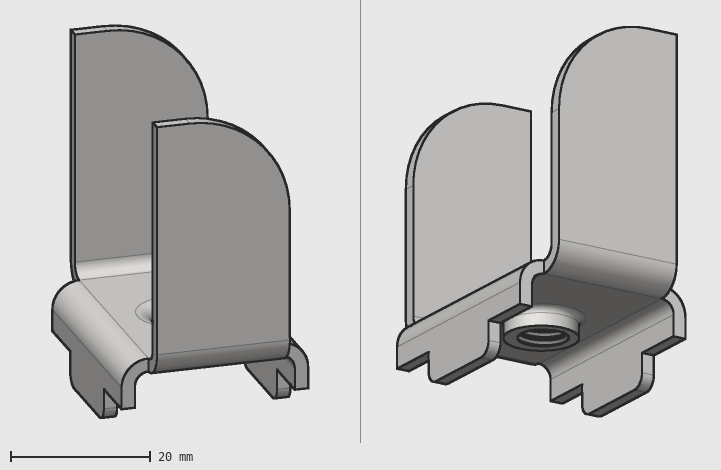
import cadquery as cq
import math

WIDTH = 41.0
DEPTH = 28.0
HEIGHT = 49.2

SHEET = 2.0
BEND_INNER = 2.0
BEND_OUTER = BEND_INNER + SHEET

BASE_X = WIDTH - 2 * BEND_OUTER
BASE_Y = DEPTH - 2 * BEND_OUTER
BASE_TOP = 12.35
BASE_BOTTOM = BASE_TOP - SHEET

ARM_CORNER = 15.0
FLANGE_BOTTOM = 5.0
TAB_WIDTH = 16.05
TAB_CORNER = 2.0

BORE_RADIUS = 3.4
THROAT_RADIUS = 3.0
COLLAR_BLEND = THROAT_RADIUS - SHEET
COLLAR_RADIUS = BORE_RADIUS + SHEET
COLLAR_BOTTOM = BASE_BOTTOM - 2.95
THREAD_PITCH = 1.25
THREAD_ROOT_RADIUS = 4.0
THREAD_HALF_WIDTH = 0.6
THREAD_TOP = BASE_TOP - 1.0
THREAD_START_ANGLE = 37
CUT_OVERLAP = 0.15


def bent_leg(bend_line, bend_z, leg_end, direction):
    """Profile of a leg bent up (+1) or down (-1) from the edge of the base.

    bend_z is the height of the base face on the outside of the bend.
    """
    diagonal = math.sqrt(0.5)
    center_z = bend_z + direction * BEND_OUTER

    def bend_middle(radius):
        return bend_line + radius * diagonal, center_z - direction * radius * diagonal

    return (
        cq.Workplane("XZ")
        .moveTo(bend_line, bend_z)
        .threePointArc(bend_middle(BEND_OUTER), (bend_line + BEND_OUTER, center_z))
        .lineTo(bend_line + BEND_OUTER, leg_end)
        .lineTo(bend_line + BEND_INNER, leg_end)
        .lineTo(bend_line + BEND_INNER, center_z)
        .threePointArc(bend_middle(BEND_INNER), (bend_line, center_z - direction * BEND_INNER))
        .close()
    )


def make_arm():
    """Right-hand upright arm with a large round at its rear top corner."""
    arm = bent_leg(BASE_X / 2, BASE_BOTTOM, HEIGHT, 1).extrude(BASE_Y / 2, both=True)
    return arm.edges("|X and >Y and >Z").fillet(ARM_CORNER)


def make_flange():
    """Rear hanging flange with its rounded tab."""
    flange = bent_leg(BASE_Y / 2, BASE_TOP, FLANGE_BOTTOM, -1).extrude(BASE_X / 2, both=True)
    flange = flange.rotate((0, 0, 0), (0, 0, 1), 90)
    tab = (
        cq.Workplane("XY")
        .box(TAB_WIDTH, SHEET, FLANGE_BOTTOM, centered=(True, False, False))
        .translate((0, DEPTH / 2 - SHEET, 0))
        .edges("|Y and <Z")
        .fillet(TAB_CORNER)
    )
    return flange.union(tab)


def make_collar():
    """Solid collar below the base, blended into its underside."""
    diagonal = math.sqrt(0.5)
    blend_r = COLLAR_RADIUS + COLLAR_BLEND
    blend_z = BASE_BOTTOM - COLLAR_BLEND
    return (
        cq.Workplane("XZ")
        .moveTo(0, COLLAR_BOTTOM)
        .lineTo(COLLAR_RADIUS, COLLAR_BOTTOM)
        .lineTo(COLLAR_RADIUS, blend_z)
        .threePointArc(
            (blend_r - COLLAR_BLEND * diagonal, blend_z + COLLAR_BLEND * diagonal),
            (blend_r, BASE_BOTTOM),
        )
        .lineTo(blend_r, BASE_TOP)
        .lineTo(0, BASE_TOP)
        .close()
        .revolve(360, (0, 0), (0, 1))
    )


def make_bore():
    """Bore that flares out into a rounded throat at the top of the base."""
    diagonal = math.sqrt(0.5)
    throat_r = BORE_RADIUS + THROAT_RADIUS
    throat_z = BASE_TOP - THROAT_RADIUS
    return (
        cq.Workplane("XZ")
        .moveTo(0, COLLAR_BOTTOM)
        .lineTo(BORE_RADIUS, COLLAR_BOTTOM)
        .lineTo(BORE_RADIUS, throat_z)
        .threePointArc(
            (throat_r - THROAT_RADIUS * diagonal, throat_z + THROAT_RADIUS * diagonal),
            (throat_r, BASE_TOP),
        )
        .lineTo(0, BASE_TOP)
        .close()
        .revolve(360, (0, 0), (0, 1))
    )


def make_thread():
    """Helical V groove running up the bore into the throat."""
    start_z = COLLAR_BOTTOM - THREAD_PITCH / 2
    inner_r = BORE_RADIUS - CUT_OVERLAP
    path = cq.Wire.makeHelix(
        THREAD_PITCH, THREAD_TOP - start_z, BORE_RADIUS, center=cq.Vector(0, 0, start_z)
    )
    return (
        cq.Workplane("XZ")
        .moveTo(inner_r, start_z - THREAD_HALF_WIDTH)
        .lineTo(THREAD_ROOT_RADIUS, start_z)
        .lineTo(inner_r, start_z + THREAD_HALF_WIDTH)
        .close()
        .sweep(cq.Workplane(path), isFrenet=True)
        .rotate((0, 0, 0), (0, 0, 1), THREAD_START_ANGLE)
    )


base = cq.Workplane("XY").box(BASE_X, BASE_Y, SHEET, centered=(True, True, False))
body = base.translate((0, 0, BASE_BOTTOM))
arm = make_arm()
flange = make_flange()
for leg in (arm, arm.mirror("YZ"), flange, flange.mirror("XZ")):
    body = body.union(leg)

result = body.union(make_collar()).cut(make_bore()).cut(make_thread())